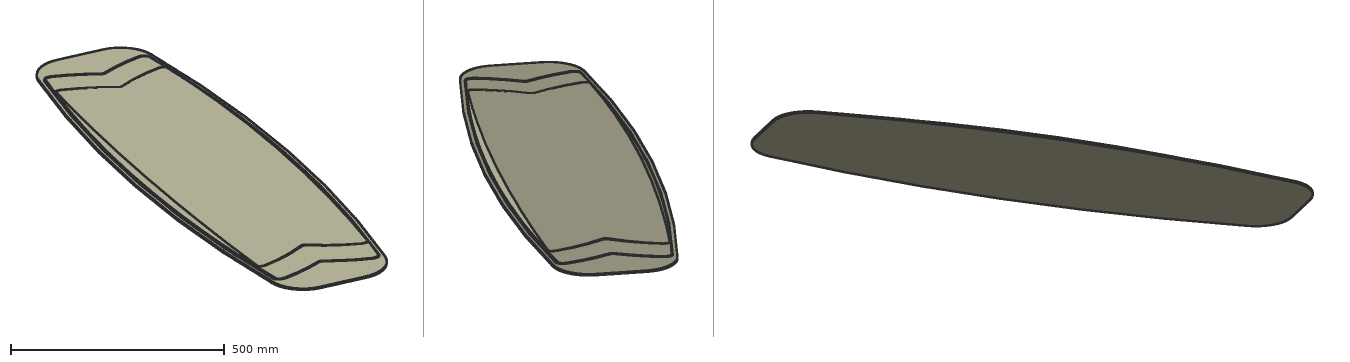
import cadquery as cq
import math

length = 1350.0
width = 400.0
height = 18.0
rail_radius = 3510.0
corner_radius = 89.0
base_thickness = 4.0

rail_ledge = 11.0
rail_slope_angle = 52.0
crown_radius = 14445.0
step_top = 7.0

chevron_corner_radius = 20.0
block_clearance = 1.0
tip_radius = 14.0
step_tip, step_mid, step_shoulder = 556.0, 582.0, 600.0
deck_tip, deck_mid, deck_shoulder = 467.0, 501.0, 522.0
step_shoulder_y = 115.0
deck_shoulder_y = 128.0


def rail_outline(half_width):
    """Pointed lens of two rail arcs, each split at mid-length, sharing the rail centres."""
    radius = rail_radius - (width / 2 - half_width)
    half_chord = math.sqrt(radius**2 - (radius - half_width) ** 2)
    return (
        cq.Workplane("XY")
        .moveTo(-half_chord, 0)
        .radiusArc((0, half_width), radius)
        .radiusArc((half_chord, 0), radius)
        .radiusArc((0, -half_width), radius)
        .radiusArc((-half_chord, 0), radius)
        .close()
    )


def make_base():
    lens = rail_outline(width / 2).extrude(base_thickness)
    trim = cq.Workplane("XY").box(length, width, height, centered=(True, True, False))
    return lens.intersect(trim).edges("|Z").fillet(corner_radius)


def make_chevron_block(tip, middle, shoulder, shoulder_y):
    """Tall block across the board with an inward chevron at both ends."""
    middle_y = shoulder_y / 2
    half_width = width / 2 - rail_ledge + block_clearance
    ends = (
        cq.Workplane("XY")
        .moveTo(-tip, 0)
        .threePointArc((-middle, middle_y), (-shoulder, shoulder_y))
        .lineTo(-shoulder, width / 2)
        .lineTo(shoulder, width / 2)
        .lineTo(shoulder, shoulder_y)
        .threePointArc((middle, middle_y), (tip, 0))
        .threePointArc((middle, -middle_y), (shoulder, -shoulder_y))
        .lineTo(shoulder, -width / 2)
        .lineTo(-shoulder, -width / 2)
        .lineTo(-shoulder, -shoulder_y)
        .threePointArc((-middle, -middle_y), (-tip, 0))
        .close()
        .extrude(height)
    )
    block = ends.intersect(rail_outline(half_width).extrude(height))
    tips = cq.selectors.BoxSelector((-length, -tip_radius, 0), (length, tip_radius, height))
    block = block.edges("|Z").edges(tips).fillet(tip_radius)
    corner_y = shoulder_y + tip_radius / 2
    upper_corners = cq.selectors.BoxSelector((-length, corner_y, 0), (length, width, height))
    lower_corners = cq.selectors.BoxSelector((-length, -width, 0), (length, -corner_y, height))
    return block.edges("|Z").edges(upper_corners + lower_corners).fillet(chevron_corner_radius)


def make_sloped_lens(rise):
    """Lens standing on the base, its sides leaning inward to the given height."""
    foot = width / 2 - rail_ledge
    top = foot - rise * math.tan(math.radians(rail_slope_angle))
    lower = rail_outline(foot).val()
    upper = rail_outline(top).val().translate(cq.Vector(0, 0, rise))
    lens = cq.Solid.makeLoft([lower, upper], True)
    return cq.Workplane(lens.translate(cq.Vector(0, 0, base_thickness)))


def make_step():
    ends = make_chevron_block(step_tip, step_mid, step_shoulder, step_shoulder_y)
    return make_sloped_lens(step_top - base_thickness).intersect(ends)


def make_deck():
    ends = make_chevron_block(deck_tip, deck_mid, deck_shoulder, deck_shoulder_y)
    crown_drop = crown_radius - math.sqrt(crown_radius**2 - (length / 2) ** 2)
    crown_end_z = height - crown_drop
    crown = (
        cq.Workplane("XZ")
        .moveTo(-length / 2, 0)
        .lineTo(-length / 2, crown_end_z)
        .radiusArc((0, height), crown_radius)
        .radiusArc((length / 2, crown_end_z), crown_radius)
        .lineTo(length / 2, 0)
        .close()
        .extrude(width / 2, both=True)
    )
    return make_sloped_lens(height - base_thickness).intersect(ends, clean=False).intersect(crown, clean=False)


result = make_base().union(make_step()).union(make_deck())